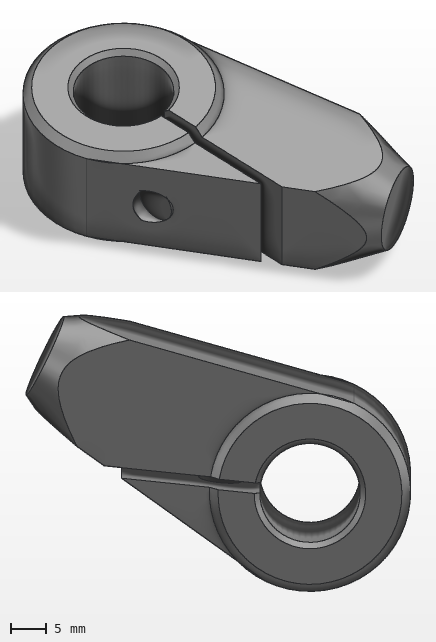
import cadquery as cq
import math

hub_diameter = 28.0
hub_radius = hub_diameter / 2
height = 17.5
hub_chamfer = 1.2
bore_diameter = 13.95
bore_chamfer = 0.75

overall_length = 55
tip_x = overall_length - hub_radius
arm_thickness = height - 2 * hub_chamfer
arm_taper = math.radians(10)
tip_half_width = hub_radius - tip_x * math.tan(arm_taper)
tip_face_radius = 6.05
tip_cone_slope = math.tan(math.radians(30))

slit_angle = 20
slit_width = 1.5
slit_length = overall_length
screw_diameter = 6.0
screw_distance = 12.5
screw_end_depth = 7.35
hole_straight_depth = 9.25
hole_cone_angle = 120


def make_arm():
    """Half-round hub end and straight tapered sides."""
    return (
        cq.Workplane("XY")
        .workplane(offset=-arm_thickness / 2)
        .moveTo(0, hub_radius)
        .threePointArc((-hub_radius, 0), (0, -hub_radius))
        .lineTo(tip_x, -tip_half_width)
        .lineTo(tip_x, tip_half_width)
        .close()
        .extrude(arm_thickness)
    )


def make_tip_envelope():
    """Solid of revolution about X whose conical end trims the arm tip."""
    base_x = -hub_radius
    base_radius = tip_face_radius + (tip_x - base_x) * tip_cone_slope
    return (
        cq.Workplane("XY")
        .moveTo(base_x, 0)
        .lineTo(base_x, base_radius)
        .lineTo(tip_x, tip_face_radius)
        .lineTo(tip_x, 0)
        .close()
        .revolve(360, (0, 0, 0), (1, 0, 0))
    )


def make_collar():
    """Conical collar rising from the upper face of the arm."""
    frustum = cq.Solid.makeCone(hub_radius, hub_radius - hub_chamfer, hub_chamfer)
    return cq.Workplane("XY").add(frustum).translate((0, 0, arm_thickness / 2))


def make_bore():
    """Through bore with a countersink at both ends."""
    bore_radius = bore_diameter / 2
    mouth_radius = bore_radius + bore_chamfer
    half_height = height / 2
    return (
        cq.Workplane("XZ")
        .moveTo(0, -half_height)
        .lineTo(mouth_radius, -half_height)
        .lineTo(bore_radius, -half_height + bore_chamfer)
        .lineTo(bore_radius, half_height - bore_chamfer)
        .lineTo(mouth_radius, half_height)
        .lineTo(0, half_height)
        .close()
        .revolve(360, (0, 0, 0), (0, 1, 0))
    )


def align_with_slit(shape):
    """Turn a shape built along +X into the direction of the slit."""
    return shape.rotate((0, 0, 0), (0, 0, 1), -slit_angle)


def make_slit():
    slit = cq.Workplane("XY").box(slit_length, slit_width, height, centered=(False, True, True))
    return align_with_slit(slit)


def make_screw():
    """Screw bridging the slit, seated in the upper jaw and ending inside the hole."""
    screw = (
        cq.Workplane("XZ", origin=(screw_distance, slit_width, 0))
        .circle(screw_diameter / 2)
        .extrude(slit_width + screw_end_depth)
    )
    return align_with_slit(screw)


def make_screw_hole():
    """Drilled hole on the screw axis, tapering to a drill point at its outer end."""
    screw_radius = screw_diameter / 2
    point_length = screw_radius / math.tan(math.radians(hole_cone_angle / 2))
    hole = (
        cq.Workplane("XY", origin=(screw_distance, 0, 0))
        .lineTo(screw_radius, 0)
        .lineTo(screw_radius, -hole_straight_depth)
        .lineTo(0, -hole_straight_depth - point_length)
        .close()
        .revolve(360, (0, 0, 0), (0, 1, 0))
    )
    return align_with_slit(hole)


collar = make_collar()
body = make_arm().intersect(make_tip_envelope())
body = body.union(collar).union(collar.mirror("XY"))
body = body.cut(make_bore()).cut(make_slit())

result = body.cut(make_screw_hole()).union(make_screw())